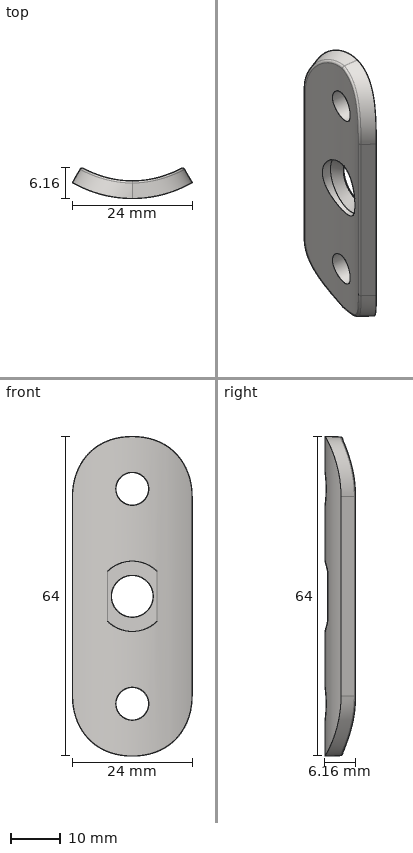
import cadquery as cq
import math

length = 64.0
outer_radius = 24.0
thickness = 3.6
half_angle = math.radians(30)
edge_rounding = 0.5
inner_radius = outer_radius - thickness
corner_radius = outer_radius * math.sin(half_angle)

end_hole_diameter = 6.5
end_hole_height = 21.5

spotface_diameter = 14.1
spotface_depth = 0.5
lip_diameter = 8.3
lip_thickness = 0.2
wide_bore_diameter = 12.0
flare_depth = (wide_bore_diameter - lip_diameter) / 2
spotface_floor = -(outer_radius - spotface_depth)


def point_at(radius, angle):
    """Point on a circle about the Z axis, angle measured from -Y towards +X."""
    return (radius * math.sin(angle), -radius * math.cos(angle))


def square_ended_half():
    """Half of the bent plate on the +X side, before its corners are rounded."""
    return (
        cq.Workplane("XY", origin=(0, 0, -length / 2))
        .moveTo(*point_at(inner_radius, 0))
        .lineTo(*point_at(outer_radius, 0))
        .threePointArc(point_at(outer_radius, half_angle / 2), point_at(outer_radius, half_angle))
        .lineTo(*point_at(inner_radius, half_angle))
        .threePointArc(point_at(inner_radius, half_angle / 2), point_at(inner_radius, 0))
        .close()
        .extrude(length)
    )


def rounded_end_prism():
    """Slot-shaped prism running along the radial side face, with one flat flush with that face."""
    across_side_face = (math.cos(half_angle), math.sin(half_angle), 0)
    radially_outward = (math.sin(half_angle), -math.cos(half_angle), 0)
    plane = cq.Plane(origin=(0, 0, 0), xDir=across_side_face, normal=radially_outward)
    return (
        cq.Workplane(plane)
        .center(-corner_radius, 0)
        .slot2D(length, 2 * corner_radius, angle=90)
        .extrude(outer_radius)
    )


def bent_plate():
    """Whole plate with rounded corners and a rounded rim on the hollow side."""
    right_half = square_ended_half().intersect(rounded_end_prism())
    plate = right_half.union(right_half.mirror("YZ"))
    hollow_face = cq.NearestToPointSelector((0, -inner_radius, 0))
    return plate.faces(hollow_face).edges().fillet(edge_rounding)


def end_hole(height):
    """Cutter that passes through the whole plate along Y."""
    return cq.Workplane("XZ", origin=(0, 0, height)).circle(end_hole_diameter / 2).extrude(outer_radius)


def spotface():
    """Cutter for the shallow flat seat on the bulging side."""
    return (
        cq.Workplane("XZ", origin=(0, spotface_floor, 0))
        .circle(spotface_diameter / 2)
        .extrude(thickness)
    )


def centre_bore():
    """Cutter that leaves a thin lip under the spotface and flares to a wide bore on the hollow side."""
    lip_end = spotface_floor + lip_thickness
    flare_end = lip_end + flare_depth
    return (
        cq.Workplane("XY")
        .moveTo(0, -outer_radius)
        .lineTo(lip_diameter / 2, -outer_radius)
        .lineTo(lip_diameter / 2, lip_end)
        .lineTo(wide_bore_diameter / 2, flare_end)
        .lineTo(wide_bore_diameter / 2, 0)
        .lineTo(0, 0)
        .close()
        .revolve(360, (0, 0, 0), (0, 1, 0))
    )


result = bent_plate().cut(spotface()).cut(centre_bore())
for hole_height in (-end_hole_height, end_hole_height):
    result = result.cut(end_hole(hole_height))